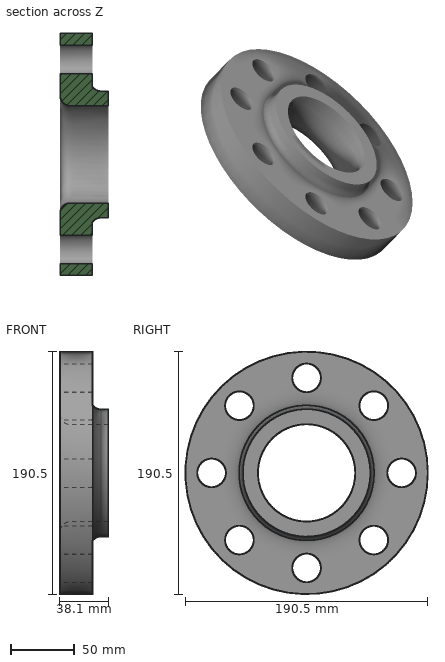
import cadquery as cq
import math

flange_diameter = 190.5
flange_thickness = 25.7
overall_length = 38.1

hub_diameter = 100.0
flare_length = 6.3
flare_radius = 8.0

bore_diameter = 76.2
bore_rounding = 8.0

bolt_count = 8
bolt_hole_diameter = 22.3
bolt_circle_diameter = 149.2


def disc(diameter, length):
    """Solid cylinder growing along +X from X = 0."""
    return cq.Workplane("YZ").circle(diameter / 2).extrude(length)


def bolt_holes():
    """Ring of drills through the flange, the first on the +Y axis."""
    return (
        cq.Workplane("YZ")
        .polarArray(bolt_circle_diameter / 2, 0, 360, bolt_count)
        .circle(bolt_hole_diameter / 2)
        .extrude(flange_thickness)
    )


def hub_flare():
    """Hub root with a concave arc, tangent to the hub and cut short by the ring's back face."""
    hub_radius = hub_diameter / 2
    flare_end = flange_thickness + flare_length

    def flare_height(distance):
        """Rise of the arc above the hub, at an axial distance from the tangent point."""
        return flare_radius - math.sqrt(flare_radius**2 - distance**2)

    half_length = flare_length / 2
    return (
        cq.Workplane("XY")
        .moveTo(flange_thickness, 0)
        .lineTo(flange_thickness, hub_radius + flare_height(flare_length))
        .threePointArc(
            (flare_end - half_length, hub_radius + flare_height(half_length)),
            (flare_end, hub_radius),
        )
        .lineTo(flare_end, 0)
        .close()
        .revolve(360, (0, 0, 0), (1, 0, 0))
    )


ring = disc(flange_diameter, flange_thickness)
hub = disc(hub_diameter, overall_length)
body = ring.union(hub).union(hub_flare())

body = body.cut(disc(bore_diameter, overall_length))
bore_edge = cq.selectors.RadiusNthSelector(0)
body = body.faces("<X").edges(bore_edge).fillet(bore_rounding)

result = body.cut(bolt_holes())